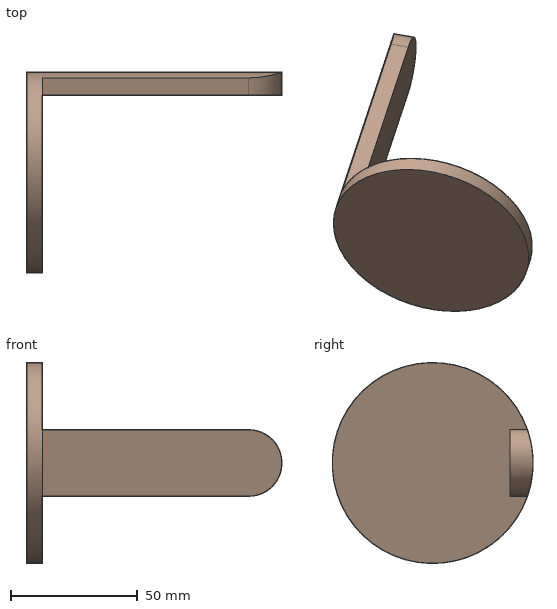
import cadquery as cq

disc_diameter = 79.29
disc_thickness = 6.25
overall_length = 100.76
arm_width = 26.3
arm_thickness = 9.2

disc_radius = disc_diameter / 2
arm_end_radius = arm_width / 2
arm_straight_end = overall_length - arm_end_radius
arm_inner_y = disc_radius - arm_thickness


def make_cylinder(length):
    """Cylinder of the disc's diameter along +X, starting at the outer face of the disc."""
    return cq.Workplane("YZ").circle(disc_radius).extrude(length)


def make_arm():
    """Round-ended arm whose outer face follows the rim of the disc."""
    arm_blank = (
        cq.Workplane("XZ", origin=(0, arm_inner_y, 0))
        .moveTo(0, -arm_end_radius)
        .lineTo(arm_straight_end, -arm_end_radius)
        .threePointArc((overall_length, 0), (arm_straight_end, arm_end_radius))
        .lineTo(0, arm_end_radius)
        .close()
        .extrude(-arm_thickness)
    )
    return arm_blank.intersect(make_cylinder(overall_length))


result = make_cylinder(disc_thickness).union(make_arm())